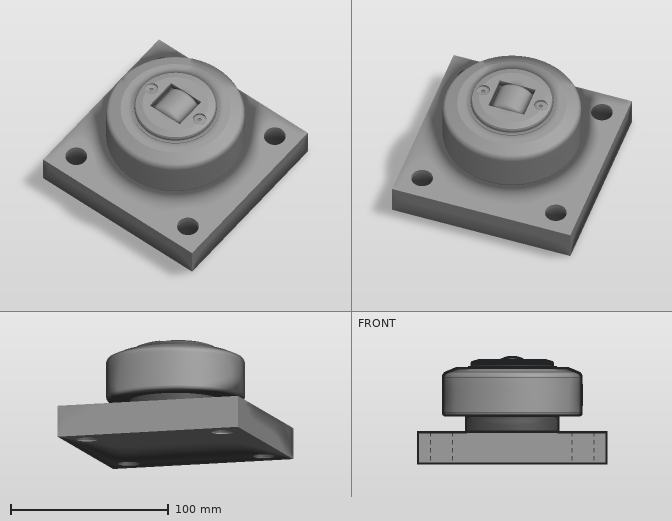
import cadquery as cq
import math

plate_side = 120
plate_height = 20.0
plate_hole_diameter = 13.8
plate_hole_spacing = 90

neck_diameter = 59.0
neck_height = 10.2
neck_foot_chamfer = 0.4

roller_radius = 44.3
roller_crown = 0.1
roller_height = 30.4
roller_bottom_edge_width = 1.8
roller_bottom_edge_height = 2.0
roller_shoulder_radius = 41.6
roller_face_radius = 34.9
roller_side_height = 24.1
roller_shoulder_height = 27.6

ring_diameter = 55.5
ring_bottom_height = 0.4
ring_top_height = 0.5

cap_diameter = 52.0
cap_radius = cap_diameter / 2
cap_height = 4.5
cap_side_height = 2.0
cap_foot_chamfer = 0.4
cap_rim_radius = 25.5
cap_rim_height = 3.1
cap_face_radius = 21.0

pocket_length = 24.2
pocket_width = 22.2
pocket_depth = 4.5
axial_roller_radius = 13.8
axial_roller_crown = 0.1
axial_roller_length = 21.8
axial_roller_edge_radius = 3.0
axial_roller_rise = 2.0

screw_offset = 19.5
screw_recess_diameter = 8.6
screw_recess_depth = 1.5
screw_head_diameter = 7.8
screw_head_height = 0.2
screw_socket_diameter = 2.8
screw_socket_depth = 0.8

neck_top = plate_height + neck_height
roller_base = neck_top + ring_bottom_height
roller_top = roller_base + roller_height
cap_base = roller_top + ring_top_height
cap_top = cap_base + cap_height
axial_roller_axis = cap_top + axial_roller_rise - axial_roller_radius


def make_plate():
    plate = cq.Workplane("XY").box(plate_side, plate_side, plate_height, centered=(True, True, False))
    return (
        plate.faces(">Z").workplane()
        .rect(plate_hole_spacing, plate_hole_spacing, forConstruction=True)
        .vertices()
        .hole(plate_hole_diameter)
    )


def tangent_arc_middle(tangent_point, end_point):
    """Middle of an arc that leaves tangent_point vertically and bends toward the axis to end_point."""
    inset = tangent_point[0] - end_point[0]
    rise = end_point[1] - tangent_point[1]
    arc_radius = (inset ** 2 + rise ** 2) / (2 * inset)
    half_angle = math.asin(rise / arc_radius) / 2
    return (
        tangent_point[0] - arc_radius * (1 - math.cos(half_angle)),
        tangent_point[1] + arc_radius * math.sin(half_angle),
    )


def make_turned_body():
    """Neck, ring, crowned roller and cap as one revolved profile of (radius, height) points."""
    neck_radius = neck_diameter / 2
    ring_radius = ring_diameter / 2
    edge_radius = roller_radius - roller_crown
    bottom_corner = (roller_radius - roller_bottom_edge_width, roller_base)
    side_bottom = (edge_radius, roller_base + roller_bottom_edge_height)
    side_top = (edge_radius, roller_base + roller_side_height)
    side_middle = (roller_radius, (side_bottom[1] + side_top[1]) / 2)
    shoulder = (roller_shoulder_radius, roller_base + roller_shoulder_height)
    profile = (
        cq.Workplane("XZ")
        .moveTo(0, plate_height)
        .lineTo(neck_radius - neck_foot_chamfer, plate_height)
        .lineTo(neck_radius, plate_height + neck_foot_chamfer)
        .lineTo(neck_radius, neck_top)
        .lineTo(ring_radius, neck_top)
        .lineTo(ring_radius, roller_base)
        .lineTo(*bottom_corner)
        .threePointArc(tangent_arc_middle(side_bottom, bottom_corner), side_bottom)
        .threePointArc(side_middle, side_top)
        .threePointArc(tangent_arc_middle(side_top, shoulder), shoulder)
        .lineTo(roller_face_radius, roller_top)
        .lineTo(ring_radius, roller_top)
        .lineTo(ring_radius, cap_base)
        .lineTo(cap_radius - cap_foot_chamfer, cap_base)
        .lineTo(cap_radius, cap_base + cap_foot_chamfer)
        .lineTo(cap_radius, cap_base + cap_side_height)
        .lineTo(cap_rim_radius, cap_base + cap_rim_height)
        .lineTo(cap_face_radius, cap_top)
        .lineTo(0, cap_top)
        .close()
    )
    return profile.revolve(360, (0, 0, 0), (0, 1, 0))


def make_pocket():
    """Rectangular opening around the axial roller."""
    return (
        cq.Workplane("XY", origin=(0, 0, cap_top - pocket_depth))
        .rect(pocket_length, pocket_width)
        .extrude(pocket_depth)
    )


def make_axial_roller():
    """Crowned roller lying along Y with rounded ends, sunk partly below the pocket floor."""
    half_length = axial_roller_length / 2
    end_radius = axial_roller_radius - axial_roller_crown
    return (
        cq.Workplane("YZ", origin=(0, 0, axial_roller_axis))
        .moveTo(-half_length, 0)
        .lineTo(-half_length, end_radius)
        .threePointArc((0, axial_roller_radius), (half_length, end_radius))
        .lineTo(half_length, 0)
        .close()
        .revolve(360, (0, 0, 0), (1, 0, 0))
        .edges("%CIRCLE")
        .fillet(axial_roller_edge_radius)
    )


def upright_cylinder(x, diameter, bottom, top):
    return cq.Workplane("XY", origin=(x, 0, bottom)).circle(diameter / 2).extrude(top - bottom)


def add_screw(body, x):
    """Counterbored recess holding a screw head with a small round socket."""
    recess_floor = cap_top - screw_recess_depth
    head_top = recess_floor + screw_head_height
    body = body.cut(upright_cylinder(x, screw_recess_diameter, recess_floor, cap_top))
    body = body.union(upright_cylinder(x, screw_head_diameter, recess_floor, head_top))
    return body.cut(upright_cylinder(x, screw_socket_diameter, head_top - screw_socket_depth, head_top))


result = make_plate().union(make_turned_body())
result = result.cut(make_pocket()).union(make_axial_roller())
for screw_x in (-screw_offset, screw_offset):
    result = add_screw(result, screw_x)